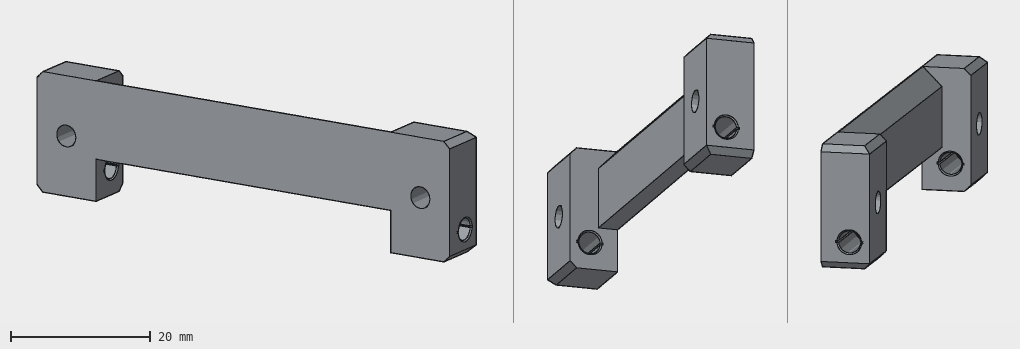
import cadquery as cq

length = 70.0
depth = 7.2
height = 18.0

block_length = 10.0
block_chamfer = 1.0

beam_depth = 2.95
beam_bottom = 6.3
beam_top_land = 0.15

bore_diameter = 3.2
mounting_inset = 5.0
mounting_height = height / 2
cross_hole_y = 4.2
cross_hole_z = 4.0
cross_rim_diameter = 3.65
cross_rim_depth = (cross_rim_diameter - bore_diameter) / 2
slit_width = 4.0
slit_height = 0.3


def make_end_block():
    """Left end block with its outer end and back edges chamfered at top and bottom."""
    block = cq.Workplane("XY").box(block_length, depth, height, centered=False)
    block = block.translate((-length / 2, 0, 0))
    end_edges = block.faces("<X").edges("|Y")
    back_edges = block.faces(">Y").edges("|X")
    block = block.newObject(end_edges.vals() + back_edges.vals()).chamfer(block_chamfer)

    mounting_hole = (
        cq.Workplane("XZ")
        .center(mounting_inset - length / 2, mounting_height)
        .circle(bore_diameter / 2)
        .extrude(-depth)
    )
    return block.cut(mounting_hole).cut(make_cross_hole())


def make_cross_hole():
    """Hole along X through the left block, countersunk at both ends and widened by a thin flat slit."""
    outer_end = cq.Workplane("YZ", origin=(-length / 2, cross_hole_y, cross_hole_z))
    bore = outer_end.circle(bore_diameter / 2).extrude(block_length)
    rim = (
        outer_end.circle(cross_rim_diameter / 2)
        .workplane(offset=cross_rim_depth)
        .circle(bore_diameter / 2)
        .loft()
    )
    block_middle = ((block_length - length) / 2, 0, 0)
    inner_rim = rim.mirror("YZ", block_middle)
    slit = outer_end.rect(slit_width, slit_height).extrude(block_length)
    return bore.union(rim).union(inner_rim).union(slit)


def make_beam():
    """Thin beam between the blocks; its top slopes down at 45 degrees behind a narrow flat."""
    profile = [
        (0, beam_bottom),
        (beam_depth, beam_bottom),
        (beam_depth, height - beam_depth + beam_top_land),
        (beam_top_land, height),
        (0, height),
    ]
    span = length - 2 * block_length
    return cq.Workplane("YZ", origin=(-span / 2, 0, 0)).polyline(profile).close().extrude(span)


left_block = make_end_block()
right_block = left_block.mirror("YZ")
result = make_beam().union(left_block).union(right_block)